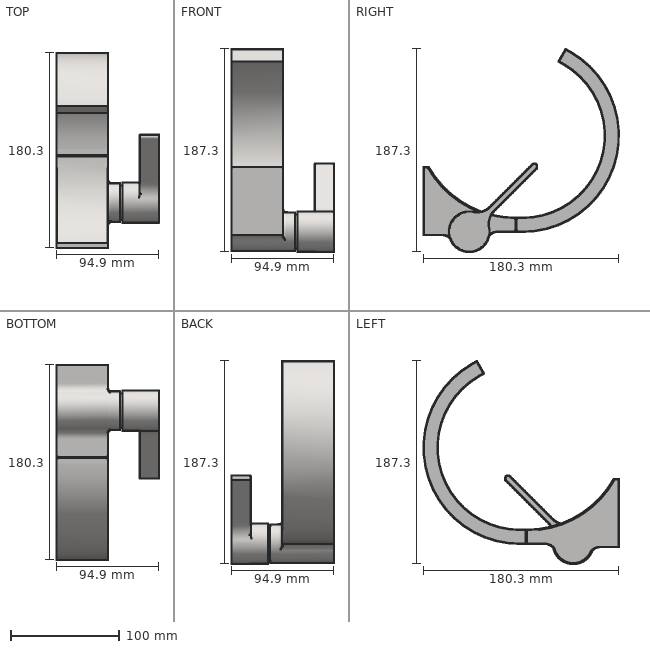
import cadquery as cq
import math


body_width = 48.0
edge_round = 0.7
underside_z = -0.2

spout_outer_radius = 89.0
spout_thickness = 13.1
spout_center_y = 49.2
spout_end_angle = 60
spout_straight = 5.5
tenon_inset = 1.5
joint_gap = 1.1

wall_y = -42.1
wall_bottom_z = -3.2
wall_top_z = 59.5
top_land = 4.7
saddle_radius = 91.9
boss_radius = 18.0
boss_blend = 10.0
neck_length = 11.0
collar_blend = 2.5

disc_radius = 16.0
disc_thickness = 2.0

hub_radius = 18.7
hub_length = 33.9
lever_width = 18.0
lever_thickness = 5.5
lever_tilt = 45
lever_tip_y = 62.7
lever_tip_round = 2.53
lever_blend = 17.0
lever_inner_round = 1.1
lever_root_blend = 1.0

spout_inner_radius = spout_outer_radius - spout_thickness
spout_center_z = underside_z + spout_outer_radius
root_top_z = underside_z + spout_thickness
spout_root_y = spout_center_y - spout_straight
housing_end_y = spout_root_y - joint_gap
neck_end_x = body_width + neck_length
handle_x = neck_end_x + disc_thickness
handle_end_x = handle_x + hub_length
lever_x = handle_end_x - lever_width


def profile(x=0):
    """Workplane across the valve axis: local x is Y, local y is Z, normal is +X."""
    return cq.Workplane("YZ", origin=(x, 0, 0))


def make_flare(face_x, radius, blend, side, root):
    """Concave ring around the valve axis, blending a cylinder into a face across the axis.

    side is the direction along X in which the cylinder leaves the face, and root is
    the depth to which the ring reaches behind the face.
    """
    end_x = face_x + side * blend
    root_x = face_x - side * root
    sag = blend * (1 - math.sqrt(0.5))
    return (
        cq.Workplane("XY")
        .moveTo(root_x, 0)
        .lineTo(root_x, radius + blend)
        .lineTo(face_x, radius + blend)
        .threePointArc((face_x + side * sag, radius + sag), (end_x, radius))
        .lineTo(end_x, 0)
        .close()
        .revolve(360, (0, 0, 0), (1, 0, 0))
    )


def on_spout(radius, angle, run_out=0):
    """Point on a spout arc, moved on along the tangent by run_out."""
    a = math.radians(angle)
    return (
        spout_center_y + radius * math.cos(a) - run_out * math.sin(a),
        spout_center_z + radius * math.sin(a) + run_out * math.cos(a),
    )


def make_spout():
    inner, outer = spout_inner_radius, spout_outer_radius
    end = spout_end_angle
    bow = (
        profile()
        .moveTo(spout_root_y, underside_z)
        .lineTo(spout_center_y, underside_z)
        .threePointArc(on_spout(outer, 0), on_spout(outer, end))
        .lineTo(*on_spout(outer, end, spout_straight))
        .lineTo(*on_spout(inner, end, spout_straight))
        .lineTo(*on_spout(inner, end))
        .threePointArc(on_spout(inner, 0), on_spout(inner, -90))
        .lineTo(spout_root_y, root_top_z)
        .close()
        .extrude(body_width)
    )
    tenon = cq.Workplane().box(
        body_width - 2 * tenon_inset,
        joint_gap,
        spout_thickness - 2 * tenon_inset,
        centered=(True, False, True),
    ).translate((body_width / 2, housing_end_y, (underside_z + root_top_z) / 2))
    return bow.union(tenon)


def boss_blend_points(flat_z, side):
    """Blend of a flat underside into the boss: point on the flat, middle, point on the boss."""
    reach = boss_radius + boss_blend
    center_z = flat_z - boss_blend
    center_y = side * math.sqrt(reach**2 - center_z**2)
    on_flat = (center_y, flat_z)
    on_boss = (center_y * boss_radius / reach, center_z * boss_radius / reach)
    toward_boss = math.atan2(-center_z, -center_y)
    middle_angle = (toward_boss + math.pi / 2) / 2
    middle = (
        center_y + boss_blend * math.cos(middle_angle),
        center_z + boss_blend * math.sin(middle_angle),
    )
    return on_flat, middle, on_boss


def housing_outline(x, length):
    front_flat, front_middle, front_boss = boss_blend_points(underside_z, 1)
    back_flat, back_middle, back_boss = boss_blend_points(wall_bottom_z, -1)
    return (
        profile(x)
        .moveTo(housing_end_y, root_top_z)
        .lineTo(housing_end_y, underside_z)
        .lineTo(*front_flat)
        .threePointArc(front_middle, front_boss)
        .threePointArc((0, -boss_radius), back_boss)
        .threePointArc(back_middle, back_flat)
        .lineTo(wall_y, wall_bottom_z)
        .lineTo(wall_y, wall_top_z)
        .lineTo(wall_y + top_land, wall_top_z)
        .radiusArc((housing_end_y, root_top_z), -saddle_radius)
        .close()
        .extrude(length)
    )


def make_housing():
    block = housing_outline(0, body_width)
    outer_edges = block.faces("<X or >X or >Y").edges()
    block = outer_edges.filter(lambda edge: edge.Center().y > wall_y + edge_round).fillet(edge_round)

    root_x = body_width - edge_round
    flare = make_flare(body_width, boss_radius, collar_blend, 1, edge_round)
    flare = flare.intersect(housing_outline(root_x, edge_round + collar_blend))
    neck = (
        profile(root_x)
        .circle(boss_radius)
        .extrude(neck_end_x - root_x)
        .faces(">X").edges().fillet(edge_round)
    )
    return block.union(flare).union(neck)


def make_disc():
    return profile(neck_end_x).circle(disc_radius).extrude(disc_thickness)


def along_lever(distance, offset):
    """Point at a distance along the tilted lever and an offset above its mid-plane."""
    a = math.radians(lever_tilt)
    return (
        distance * math.cos(a) - offset * math.sin(a),
        distance * math.sin(a) + offset * math.cos(a),
    )


def lever_outline(x, length):
    """Lever and hub cross-section with blends between them, extruded along X."""
    half = lever_thickness / 2
    blend_offset = half + lever_blend
    reach = hub_radius + lever_blend
    blend_start = math.sqrt(reach**2 - blend_offset**2)
    hub_share = hub_radius / reach
    toward_hub = math.atan2(-blend_offset, -blend_start)
    middle_angle = (toward_hub - math.pi / 2) / 2
    middle_distance = blend_start + lever_blend * math.cos(middle_angle)
    middle_offset = blend_offset + lever_blend * math.sin(middle_angle)

    tilt = math.radians(lever_tilt)
    tip_z = lever_tip_y * math.tan(tilt)
    tip_half = half / math.cos(tilt)
    return (
        profile(x)
        .moveTo(lever_tip_y, tip_z + tip_half)
        .lineTo(*along_lever(blend_start, half))
        .threePointArc(
            along_lever(middle_distance, middle_offset),
            along_lever(blend_start * hub_share, blend_offset * hub_share),
        )
        .threePointArc(
            along_lever(-hub_radius, 0),
            along_lever(blend_start * hub_share, -blend_offset * hub_share),
        )
        .threePointArc(
            along_lever(middle_distance, -middle_offset),
            along_lever(blend_start, -half),
        )
        .lineTo(lever_tip_y, tip_z - tip_half)
        .close()
        .extrude(length)
        .edges("|X").edges(">Z").fillet(lever_tip_round)
    )


def make_handle():
    lever = lever_outline(lever_x, lever_width)
    lever = lever.faces(">X").edges().fillet(edge_round)
    lever = lever.faces("<X").edges().fillet(lever_inner_round)
    hub = profile(handle_x).circle(hub_radius).extrude(hub_length - lever_width / 2)
    blend_x = lever_x - lever_root_blend
    flare = make_flare(lever_x, hub_radius, lever_root_blend, -1, lever_inner_round)
    flare = flare.intersect(lever_outline(blend_x, lever_root_blend + lever_inner_round))
    return hub.union(lever).union(flare)


spout = make_spout()
housing = make_housing()
disc = make_disc()
handle = make_handle()

result = cq.Compound.makeCompound([spout.val(), housing.val(), disc.val(), handle.val()])